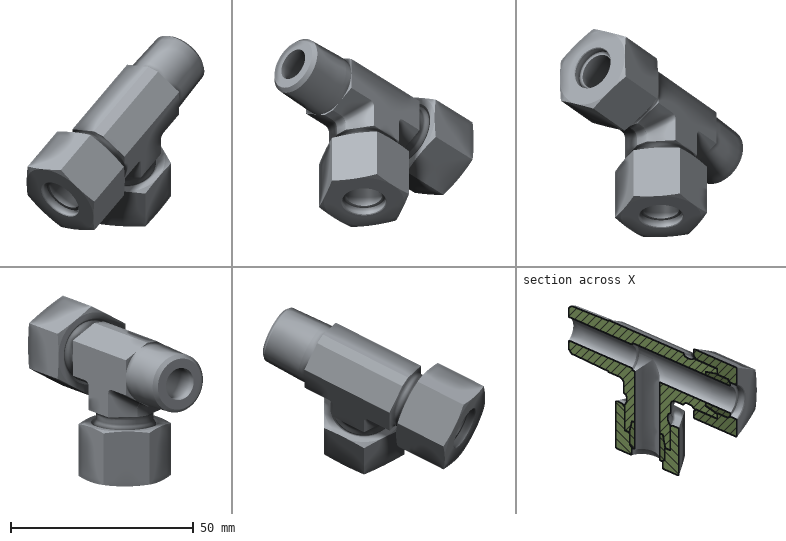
import cadquery as cq
import math

BAR_FLATS = 17.15
BAR_HALF_HEIGHT = 9.0
SOCKET_SHOULDER = 13.0
MALE_SHOULDER = 14.0
CROTCH_RADIUS = 1.85
CROTCH_MARGIN = 0.3

MALE_END = 28.0
MALE_COLLAR_END = 16.0
MALE_LARGE_DIAMETER = BAR_FLATS
MALE_SMALL_DIAMETER = 16.4
MALE_TIP_DIAMETER = 14.3
MALE_CHAMFER = 1.0
MALE_BORE = 9.0
BORE_TAPER_LENGTH = 0.5

BORE = 10.0
NECK_DIAMETER = 15.7
NECK_FILLET = 1.0
NECK_END = 15.3
RUNOUT_RADIUS = 1.0
RUNOUT_ANGLE = math.radians(30)
THREAD_DIAMETER = 17.15
SPIGOT_END = 25.0

RING_INNER_END = 21.0
RING_TAIL_DIAMETER = 12.0
RING_CONE_ANGLE = math.radians(12)

NUT_FLATS = 22.0
NUT_END = 32.0
NUT_LENGTH = 15.5
NUT_CHAMFER_ANGLE = math.radians(15)
NUT_BORE = 12.0
NUT_MOUTH_DIAMETER = 12.4
NUT_COUNTERSINK_DIAMETER = 18.6
NUT_SEAT_END = 29.65

NUT_START = NUT_END - NUT_LENGTH
RING_CONE_DIAMETER = RING_TAIL_DIAMETER + 2 * (SPIGOT_END - RING_INNER_END) * math.tan(RING_CONE_ANGLE)
NUT_SEAT_START = NUT_SEAT_END - (RING_CONE_DIAMETER - NUT_BORE) / 2
RUN_TURN = -90
HEXAGON_CORNER_ANGLE = math.radians(30)
BAR_CORNERS = BAR_FLATS / math.cos(HEXAGON_CORNER_ANGLE)


def turned(points):
    """Revolve a closed (radius, distance) outline about the branch axis, distance running along -Z."""
    outline = [(radius, -distance) for radius, distance in points]
    return cq.Workplane("XZ").polyline(outline).close().revolve(360, (0, 0), (0, 1))


def cylinder(diameter, start, end):
    """Cylinder on the branch axis between two distances below the tee centre."""
    return cq.Workplane("XY").workplane(offset=-end).circle(diameter / 2).extrude(end - start)


def hexagonal_bar(flats, start, end):
    """Hexagonal bar on the branch axis with its flats facing +X and -X."""
    corners = flats / math.cos(HEXAGON_CORNER_ANGLE)
    return (
        cq.Workplane("XY").workplane(offset=-end)
        .polygon(6, corners).extrude(end - start)
        .rotate((0, 0, 0), (0, 0, 1), 90)
    )


def turn_about_x(body, angle):
    """Turn a body about the X axis through the tee centre."""
    return body.rotate((0, 0, 0), (1, 0, 0), angle)


def on_run(body):
    """Turn a body from the branch axis (-Z) onto the run axis (-Y)."""
    return turn_about_x(body, RUN_TURN)


def tee_bar(start, end):
    """Forged bar: a hexagon with two opposite corners cut flat."""
    slab = cq.Workplane("XY").box(2 * BAR_FLATS, 2 * BAR_HALF_HEIGHT, 4 * MALE_END)
    return hexagonal_bar(BAR_FLATS, start, end).intersect(slab)


def forged_block():
    """Run and branch bars joined, with rounded crotches between them."""
    run = on_run(tee_bar(-MALE_SHOULDER, SOCKET_SHOULDER))
    branch = tee_bar(0, SOCKET_SHOULDER)
    block = run.union(branch)
    middle = (BAR_HALF_HEIGHT + BAR_CORNERS / 4) / 2
    reach = (BAR_HALF_HEIGHT - BAR_CORNERS / 4) / 2 + CROTCH_MARGIN
    for side in (-1, 1):
        crotch = cq.selectors.BoxSelector(
            (-BAR_FLATS, side * (middle - reach), -middle - reach),
            (BAR_FLATS, side * (middle + reach), -middle + reach),
            boundingbox=True,
        )
        block = block.edges(crotch).fillet(CROTCH_RADIUS)
    return block


def spigot():
    """Relieved neck and thread of one tube connection."""
    neck_radius = NECK_DIAMETER / 2
    thread_radius = THREAD_DIAMETER / 2
    fillet_end = SOCKET_SHOULDER + NECK_FILLET
    runout_start = NECK_END + RUNOUT_RADIUS * math.sin(RUNOUT_ANGLE)
    runout_start_radius = neck_radius + RUNOUT_RADIUS * (1 - math.cos(RUNOUT_ANGLE))
    runout_end = runout_start + (thread_radius - runout_start_radius) / math.tan(RUNOUT_ANGLE)
    half_angle = RUNOUT_ANGLE / 2
    profile = (
        cq.Workplane("XZ")
        .moveTo(0, 0)
        .lineTo(neck_radius, 0)
        .lineTo(neck_radius, -NECK_END)
        .threePointArc(
            (neck_radius + RUNOUT_RADIUS * (1 - math.cos(half_angle)),
             -NECK_END - RUNOUT_RADIUS * math.sin(half_angle)),
            (runout_start_radius, -runout_start),
        )
        .lineTo(thread_radius, -runout_end)
        .lineTo(thread_radius, -SPIGOT_END)
        .lineTo(0, -SPIGOT_END)
        .close()
        .revolve(360, (0, 0), (0, 1))
    )
    quarter = NECK_FILLET * (1 - math.sqrt(0.5))
    fillet = (
        cq.Workplane("XZ")
        .moveTo(0, -SOCKET_SHOULDER)
        .lineTo(neck_radius + NECK_FILLET, -SOCKET_SHOULDER)
        .threePointArc(
            (neck_radius + quarter, -SOCKET_SHOULDER - quarter),
            (neck_radius, -fillet_end),
        )
        .lineTo(0, -fillet_end)
        .close()
        .revolve(360, (0, 0), (0, 1))
    )
    return profile.union(fillet.intersect(tee_bar(SOCKET_SHOULDER, fillet_end)))


def socket_cut():
    """Bore and ring seat of one tube connection."""
    bore = cylinder(BORE, 0, SPIGOT_END)
    seat = turned([
        (0, RING_INNER_END),
        (RING_TAIL_DIAMETER / 2, RING_INNER_END),
        (RING_CONE_DIAMETER / 2, SPIGOT_END),
        (0, SPIGOT_END),
    ])
    return bore.union(seat)


def male_end():
    """Tapered male end, on the run axis."""
    return on_run(turned([
        (0, 0),
        (MALE_LARGE_DIAMETER / 2, 0),
        (MALE_LARGE_DIAMETER / 2, -MALE_COLLAR_END),
        (MALE_SMALL_DIAMETER / 2, MALE_CHAMFER - MALE_END),
        (MALE_TIP_DIAMETER / 2, -MALE_END),
        (0, -MALE_END),
    ]))


def male_bore():
    """Bore of the male end, tapering down from the run bore beyond the branch bore."""
    taper_start = BORE / 2
    taper_end = taper_start + BORE_TAPER_LENGTH
    return on_run(turned([
        (0, 0),
        (BORE / 2, 0),
        (BORE / 2, -taper_start),
        (MALE_BORE / 2, -taper_end),
        (MALE_BORE / 2, -MALE_END),
        (0, -MALE_END),
    ]))


def make_tee():
    body = forged_block().union(male_end())
    body = body.union(spigot()).union(on_run(spigot()))
    return body.cut(socket_cut()).cut(on_run(socket_cut())).cut(male_bore())


def make_ring():
    """Cutting ring wedged between the spigot seat and the nut seat."""
    return turned([
        (BORE / 2, RING_INNER_END),
        (RING_TAIL_DIAMETER / 2, RING_INNER_END),
        (RING_CONE_DIAMETER / 2, SPIGOT_END),
        (RING_CONE_DIAMETER / 2, NUT_SEAT_START),
        (NUT_BORE / 2, NUT_SEAT_END),
        (BORE / 2, NUT_SEAT_END),
    ])


def make_nut():
    """Hexagonal union nut, chamfered at both ends."""
    flat_radius = NUT_FLATS / 2
    corner_radius = flat_radius / math.cos(HEXAGON_CORNER_ANGLE)
    chamfer = (corner_radius - flat_radius) * math.tan(NUT_CHAMFER_ANGLE)
    envelope = turned([
        (0, NUT_START),
        (flat_radius, NUT_START),
        (corner_radius, NUT_START + chamfer),
        (corner_radius, NUT_END - chamfer),
        (flat_radius, NUT_END),
        (0, NUT_END),
    ])
    thread_radius = THREAD_DIAMETER / 2
    countersink = NUT_COUNTERSINK_DIAMETER / 2 - thread_radius
    mouth_chamfer = (NUT_MOUTH_DIAMETER - NUT_BORE) / 2
    opening = turned([
        (0, NUT_START),
        (NUT_COUNTERSINK_DIAMETER / 2, NUT_START),
        (thread_radius, NUT_START + countersink),
        (thread_radius, SPIGOT_END),
        (RING_CONE_DIAMETER / 2, SPIGOT_END),
        (RING_CONE_DIAMETER / 2, NUT_SEAT_START),
        (NUT_BORE / 2, NUT_SEAT_END),
        (NUT_BORE / 2, NUT_END - mouth_chamfer),
        (NUT_MOUTH_DIAMETER / 2, NUT_END),
        (0, NUT_END),
    ])
    return hexagonal_bar(NUT_FLATS, NUT_START, NUT_END).intersect(envelope).cut(opening)


tee = make_tee()
rings = []
nuts = []
for connection_turn in (0, RUN_TURN):
    rings.append(turn_about_x(make_ring(), connection_turn))
    nuts.append(turn_about_x(make_nut(), connection_turn))
result = cq.Compound.makeCompound([body.val() for body in [tee, *rings, *nuts]])